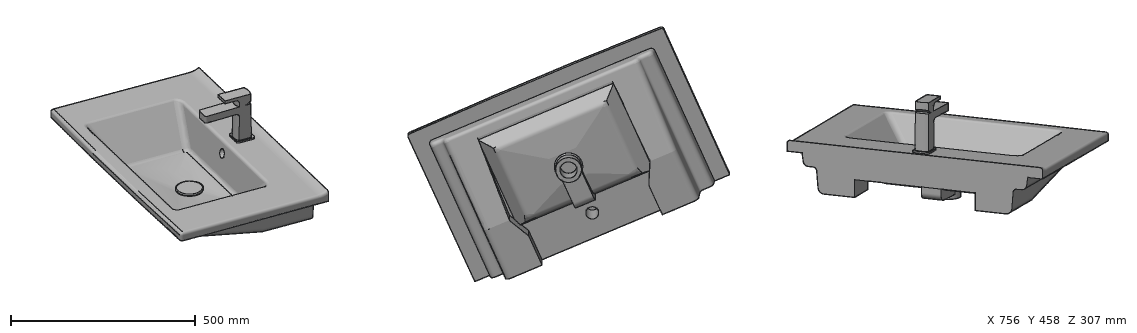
import cadquery as cq
import math


front_half_width = 378.0
back_half_width = 377.0
slab_depth = 458.0
front_bow = 4.0
slab_thickness = 24.0
upstand_height = 7.5
upstand_depth = 31.0
slab_corner_radius = 7.5
rim_radius = 8.0

skirt_depth = 414.5
skirt_top_half_width = 333.0
skirt_taper = 5.0
shelf_depth = 60.5
shelf_radius = 15.0
foot_half_width = 290.5
foot_taper = 6.0
foot_depth = 133.0
foot_radius = 18.0
step_radius = 10.5
foot_length = 151.0
apron_depth = 77.0
apron_radius = 11.0
channel_back_half_width = 178.0
channel_flare_half_width = 208.0
channel_front_half_width = 197.0
channel_flare_start = 91.0
channel_top = 83.0

bowl_half_width = 262.0
bowl_back = 119.5
bowl_front = 411.5
bowl_depth = 106.0
floor_half_width = 166.0
floor_back = 142.0
floor_front = 347.0
bowl_corner_radius = 19.0
floor_radius = 13.0
floor_border = 9.0
dish_grid = 12
bowl_edge_radius = 9.0

shell_half_width = 200.5
shell_back = 113.5
shell_front = 380.5
shell_floor_half_width = 163.0
shell_floor_back = 129.0
shell_floor_front = 348.0
shell_floor_depth = 122.5
shell_radius = 19.0

drain_y = -227.0
drain_depth = 119.5
drain_flat_width = 80.0
drain_hole_diameter = 46.0
outlet_diameter = 70.0
outlet_collar_diameter = 77.0
outlet_collar_bottom = 139.0
outlet_bottom = 166.0
shell_drain_depth = 133.0
duct_width = 58.0
duct_back = 112.0
duct_back_bottom = 150.0
duct_front_bottom = 153.5
duct_radius = 18.0
overflow_diameter = 24.0
overflow_z = -35.0
overflow_hole_depth = 11.0
tap_hole_diameter = 35.0

cap_diameter = 76.5
cap_thickness = 5.0
cap_chamfer = 3.0

tap_width = 39.0
tap_back = 45.5
tap_front = 89.0
tap_foot_spread = 2.0
tap_back_bow = 4.0
tap_front_bow = 6.0
tap_column_top = 110.0
base_width = 50.0
base_back = 38.0
base_front = 93.0
base_thickness = 4.5
base_corner_radius = 6.0
spout_tip = 188.5
spout_top = 107.5
spout_root_bottom = 88.5
spout_tip_bottom = 86.0
spout_corner_radius = 6.0
tap_inner_radius = 13.0
aerator_diameter = 20.5
aerator_y = -168.0
aerator_bottom = 82.0
lever_top = 141.0
lever_bottom = 132.0
lever_tip = 129.0
lever_back_bottom = 120.0
lever_seat_back = 63.5

selection_margin = 1.0
along_x = cq.selectors.ParallelDirSelector(cq.Vector(1, 0, 0))
along_y = cq.selectors.ParallelDirSelector(cq.Vector(0, 1, 0))
along_z = cq.selectors.ParallelDirSelector(cq.Vector(0, 0, 1))


def inside(x_range, y_range, z_range):
    """Selector for the edges whose centre lies in a box; each range is (low, high)."""
    low, high = zip(x_range, y_range, z_range)
    return cq.selectors.BoxSelector(low, high)


def around(value):
    """Narrow range centred on a value."""
    return (value - selection_margin, value + selection_margin)


def rectangle(half_width, back, front, z):
    """Closed rectangular wire at height z; back and front are distances from the back face."""
    return cq.Wire.makePolygon(
        [
            cq.Vector(-half_width, -back, z),
            cq.Vector(half_width, -back, z),
            cq.Vector(half_width, -front, z),
            cq.Vector(-half_width, -front, z),
        ],
        close=True,
    )


def frustum(lower, upper):
    """Flat-sided solid between two rectangular wires."""
    return cq.Workplane(obj=cq.Solid.makeLoft([lower, upper], True))


def side_extrusion(profile, width):
    """Extrude a profile drawn in (Y, Z) to both sides of the plane of symmetry."""
    return profile.extrude(width / 2, both=True)


def drain_square(z):
    """Square wire around the drain axis at height z."""
    half = drain_flat_width / 2
    return rectangle(half, -drain_y - half, -drain_y + half, z)


def make_slab():
    corner_depth = slab_depth - front_bow
    outline = (
        cq.Workplane("XY", origin=(0, 0, -slab_thickness))
        .moveTo(-back_half_width, 0)
        .lineTo(-front_half_width, -corner_depth)
        .threePointArc((0, -slab_depth), (front_half_width, -corner_depth))
        .lineTo(back_half_width, 0)
        .close()
        .extrude(slab_thickness + upstand_height)
    )
    outline = outline.edges("|Z").edges("<Y").fillet(slab_corner_radius)
    arc_radius = (upstand_depth**2 + upstand_height**2) / (2 * upstand_height)
    half_angle = math.atan2(upstand_height, upstand_depth)
    arc_middle = (
        -upstand_depth + arc_radius * math.sin(half_angle),
        arc_radius * (1 - math.cos(half_angle)),
    )
    profile = (
        cq.Workplane("YZ")
        .moveTo(0, -slab_thickness)
        .lineTo(0, upstand_height)
        .threePointArc(arc_middle, (-upstand_depth, 0))
        .lineTo(-slab_depth, 0)
        .lineTo(-slab_depth, -slab_thickness)
        .close()
    )
    slab = outline.intersect(side_extrusion(profile, 2 * front_half_width))
    whole_width = (-slab_depth, slab_depth)
    upper_half = (-slab_thickness / 2, 2 * upstand_height)
    inner_half_width = back_half_width - slab_corner_radius
    front_half = (-2 * slab_depth, -slab_depth + slab_corner_radius)
    all_but_back = (-2 * slab_depth, -selection_margin)
    front_edges = inside(whole_width, front_half, upper_half)
    end_edges = inside(whole_width, all_but_back, upper_half) - inside(
        (-inner_half_width, inner_half_width), all_but_back, upper_half
    )
    return slab.edges((front_edges + end_edges) - along_z).fillet(rim_radius)


def make_skirt():
    foot_bottom_half_width = foot_half_width - foot_taper
    half = [
        (skirt_top_half_width, -slab_thickness),
        (skirt_top_half_width - skirt_taper, -shelf_depth),
        (foot_half_width, -shelf_depth),
        (foot_bottom_half_width, -foot_depth),
    ]
    mirrored = [(-x, z) for x, z in reversed(half)]
    skirt = cq.Workplane("XZ").polyline(half + mirrored).close().extrude(skirt_depth)

    shelf_z = around(-shelf_depth)
    whole_depth = (-skirt_depth, 0)
    shelf_half_width = skirt_top_half_width - skirt_taper
    for half_width, radius in ((shelf_half_width, shelf_radius), (foot_half_width, step_radius)):
        left = inside(around(-half_width), whole_depth, shelf_z)
        right = inside(around(half_width), whole_depth, shelf_z)
        skirt = skirt.edges((left + right) & along_y).fillet(radius)

    underside = side_extrusion(
        cq.Workplane("YZ").polyline(
            [
                (-foot_length, -foot_depth),
                (-skirt_depth, -apron_depth),
                (-slab_depth, -apron_depth),
                (-slab_depth, -foot_depth),
            ]
        ).close(),
        2 * front_half_width,
    )
    skirt = skirt.cut(underside)
    bottom_edges = inside(
        (-skirt_top_half_width, skirt_top_half_width),
        (-skirt_depth + selection_margin, -selection_margin),
        (-foot_depth - selection_margin, -apron_depth - selection_margin),
    )
    skirt = skirt.edges(bottom_edges - along_x).fillet(foot_radius)
    skirt = skirt.faces("<Y").edges("<Z").fillet(apron_radius)

    half = [
        (channel_back_half_width, 0),
        (channel_back_half_width, -channel_flare_start),
        (channel_flare_half_width, -foot_length),
        (channel_front_half_width, -slab_depth),
    ]
    mirrored = [(-x, y) for x, y in reversed(half)]
    channel = (
        cq.Workplane("XY", origin=(0, 0, -foot_depth))
        .polyline(half + mirrored)
        .close()
        .extrude(foot_depth - channel_top)
    )
    return skirt.cut(channel)


def make_bowl_shell():
    upper = rectangle(shell_half_width, shell_back, shell_front, -channel_top)
    lower = rectangle(shell_floor_half_width, shell_floor_back, shell_floor_front, -shell_floor_depth)
    walls = frustum(lower, upper)
    shell = walls.union(frustum(lower, drain_square(-shell_drain_depth)))
    floor_edges = inside(
        (-shell_half_width, shell_half_width),
        (-shell_front, -shell_back),
        around(-shell_floor_depth),
    )
    return shell.edges(floor_edges).fillet(shell_radius)


def make_floor_dish():
    """Smooth shallow hollow inside the rounded border of the bowl floor, deepest at its middle."""
    half_width = floor_half_width - floor_border
    half_length = (floor_front - floor_back) / 2 - floor_border
    middle_y = -(floor_back + floor_front) / 2
    fall = drain_depth - bowl_depth
    steps = [2 * i / dish_grid - 1 for i in range(dish_grid + 1)]

    def surface_point(u, v):
        z = -bowl_depth - fall * (1 - u * u) * (1 - v * v)
        return cq.Vector(u * half_width, middle_y + v * half_length, z)

    points = [[surface_point(u, v) for v in steps] for u in steps]
    surface = cq.Face.makeSplineApprox(points)
    return cq.Workplane(obj=cq.Solid.extrudeLinear(surface, cq.Vector(0, 0, bowl_depth / 2)))


def make_bowl_cavity():
    upper = rectangle(bowl_half_width, bowl_back, bowl_front, 0)
    lower = rectangle(floor_half_width, floor_back, floor_front, -bowl_depth)
    cavity = frustum(lower, upper)
    corners = inside(
        (-bowl_half_width, bowl_half_width),
        (-bowl_front, -bowl_back),
        around(-bowl_depth / 2),
    )
    cavity = cavity.edges(corners).fillet(bowl_corner_radius)
    cavity = cavity.faces("<Z").edges().fillet(floor_radius)
    seat = (
        cq.Workplane("XY", origin=(0, drain_y, -drain_depth))
        .circle(cap_diameter / 2)
        .extrude(cap_thickness)
    )
    return cavity.union(make_floor_dish()).union(seat)


def make_outlet():
    pipe = (
        cq.Workplane("XY", origin=(0, drain_y, -outlet_bottom))
        .circle(outlet_diameter / 2)
        .extrude(outlet_bottom - drain_depth)
    )
    collar = (
        cq.Workplane("XY", origin=(0, drain_y, -outlet_collar_bottom))
        .circle(outlet_diameter / 2)
        .workplane(offset=outlet_collar_bottom - shell_drain_depth)
        .circle(outlet_collar_diameter / 2)
        .loft()
    )
    duct = side_extrusion(
        cq.Workplane("YZ").polyline(
            [
                (-duct_back, -channel_top),
                (-duct_back, -duct_back_bottom),
                (drain_y, -duct_front_bottom),
                (drain_y, -channel_top),
            ]
        ).close(),
        duct_width,
    )
    duct = duct.edges("|X").edges(">Y").edges("<Z").fillet(duct_radius)
    return pipe.union(collar).union(duct)


def make_basin():
    basin = make_slab().union(make_skirt()).union(make_bowl_shell()).union(make_outlet())
    basin = basin.cut(make_bowl_cavity())
    opening_edges = inside(
        (-bowl_half_width - selection_margin, bowl_half_width + selection_margin),
        (-bowl_front - selection_margin, -bowl_back + selection_margin),
        around(0),
    )
    basin = basin.edges(opening_edges).fillet(bowl_edge_radius)
    drain_hole = (
        cq.Workplane("XY", origin=(0, drain_y, -outlet_bottom))
        .circle(drain_hole_diameter / 2)
        .extrude(outlet_bottom - drain_depth)
    )
    tap_hole = (
        cq.Workplane("XY", origin=(0, -(tap_back + tap_front) / 2, -channel_top))
        .circle(tap_hole_diameter / 2)
        .extrude(channel_top)
    )
    overflow_y = -bowl_back + (floor_back - bowl_back) * overflow_z / bowl_depth
    wall_angle = math.degrees(math.atan2(floor_back - bowl_back, bowl_depth))
    overflow_plane = cq.Plane((0, overflow_y, overflow_z), xDir=(1, 0, 0), normal=(0, -1, 0))
    overflow_plane = overflow_plane.rotated((wall_angle, 0, 0))
    overflow = (
        cq.Workplane(overflow_plane)
        .circle(overflow_diameter / 2)
        .extrude(overflow_hole_depth, both=True)
    )
    return basin.cut(drain_hole).cut(tap_hole).cut(overflow)


def make_drain_cap():
    cap = (
        cq.Workplane("XY", origin=(0, drain_y, -drain_depth))
        .circle(cap_diameter / 2)
        .extrude(cap_thickness)
    )
    return cap.faces(">Z").edges().chamfer(cap_chamfer)


def tap_section(workplane, spread=0.0):
    """Outline with flat sides and slightly bowed front and back, which move out by the spread."""
    half = tap_width / 2
    back = -tap_back + spread
    front = -tap_front - spread
    return (
        workplane.moveTo(-half, back - tap_back_bow)
        .threePointArc((0, back), (half, back - tap_back_bow))
        .lineTo(half, front + tap_front_bow)
        .threePointArc((0, front), (-half, front + tap_front_bow))
        .close()
    )


def make_column():
    foot = tap_section(cq.Workplane("XY"), tap_foot_spread)
    return tap_section(foot.workplane(offset=tap_column_top)).loft(ruled=True)


def make_tap_base():
    base = (
        cq.Workplane("XY")
        .moveTo(0, -(base_back + base_front) / 2)
        .rect(base_width, base_front - base_back)
        .extrude(base_thickness)
    )
    return base.edges("|Z").fillet(base_corner_radius)


def make_spout():
    root = -(tap_front - tap_front_bow)
    middle = -(tap_back + tap_front) / 2
    spout = side_extrusion(
        cq.Workplane("YZ")
        .moveTo(middle, tap_column_top)
        .lineTo(root, tap_column_top)
        .lineTo(-spout_tip, spout_top)
        .lineTo(-spout_tip, spout_tip_bottom)
        .lineTo(root - tap_inner_radius, spout_root_bottom)
        .radiusArc((root, spout_root_bottom - tap_inner_radius), tap_inner_radius)
        .lineTo(middle, spout_root_bottom - tap_inner_radius)
        .close(),
        tap_width,
    )
    spout = spout.edges("|Z").edges("<Y").fillet(spout_corner_radius)
    aerator = (
        cq.Workplane("XY", origin=(0, aerator_y, aerator_bottom))
        .circle(aerator_diameter / 2)
        .extrude(spout_root_bottom - aerator_bottom)
    )
    return spout.union(aerator)


def make_lever():
    root = -(tap_front - tap_front_bow)
    section = tap_section(cq.Workplane("XY", origin=(0, 0, tap_column_top)))
    neck = section.extrude(lever_top - tap_column_top)
    lever = side_extrusion(
        cq.Workplane("YZ")
        .moveTo(root, lever_top)
        .lineTo(-lever_tip, lever_top)
        .lineTo(-lever_tip, lever_bottom)
        .lineTo(root - tap_inner_radius, lever_bottom)
        .radiusArc((root, lever_bottom - tap_inner_radius), tap_inner_radius)
        .lineTo(-lever_seat_back, lever_bottom - tap_inner_radius)
        .lineTo(-lever_seat_back, lever_top)
        .close(),
        tap_width,
    )
    back_relief = side_extrusion(
        cq.Workplane("YZ").polyline(
            [(-tap_back, lever_back_bottom), (-lever_seat_back, tap_column_top), (-tap_back, tap_column_top)]
        ).close(),
        tap_width,
    )
    return neck.cut(back_relief).union(lever)


def make_tap():
    return make_column().union(make_tap_base()).union(make_spout()).union(make_lever())


basin = make_basin()
drain_cap = make_drain_cap()
tap = make_tap()

result = cq.Compound.makeCompound([body.solids().val() for body in (basin, drain_cap, tap)])